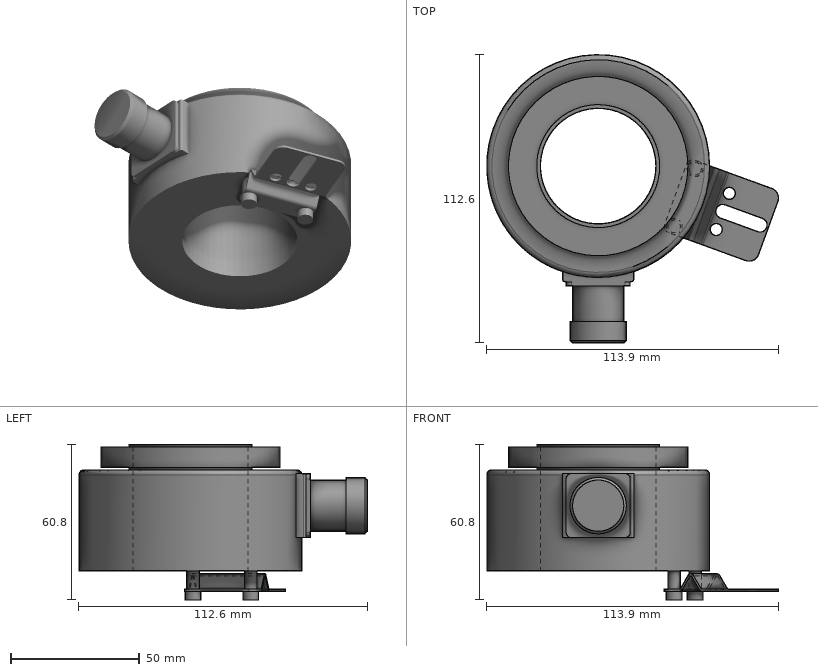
import cadquery as cq
import math

BODY_DIA = 87.0
BODY_HEIGHT = 39.5
BODY_TOP_FILLET = 2.0
BORE_DIA = 45.0

HUB_DIA = 48.0
RING_DIA = 70.0
RING_HEIGHT = 8.0
RING_GAP = 0.95
HUB_TOP = BODY_HEIGHT + RING_GAP + RING_HEIGHT + RING_GAP

CONNECTOR_Z = 25.5
CONNECTOR_END_Y = -69.05
BLOCK_WIDTH = 27.8
BLOCK_HEIGHT = 25.0
BLOCK_BACK_Y = -36.0
BLOCK_FRONT_Y = -45.15
BLOCK_EDGE_FILLET = 1.0
PAD_SIZE = 25.0
PAD_CORNER_RADIUS = 2.0
PAD_FRONT_Y = -46.8
BARREL_DIA = 20.0
CAP_DIA = 22.0
CAP_LENGTH = 8.3
CAP_CHAMFER = 1.0

BRACKET_ANGLE = -20.0
SHEET = 0.85
BRACKET_TOP_Z = -7.12
BRACKET_BOTTOM_Z = BRACKET_TOP_Z - SHEET
BRACKET_INNER_END = 32.15
BRACKET_OUTER_END = 70.67
BRACKET_WIDTH = 30.0
INNER_CORNER_RADIUS = 2.5
OUTER_CORNER_RADIUS = 4.0
FOLD_X = 43.9
FOLD_TOP_Z = -1.07
FOLD_ANGLE = math.radians(58.0)
PEAK_INNER_RADIUS = 0.4
PEAK_OUTER_RADIUS = PEAK_INNER_RADIUS + SHEET
FOOT_INNER_RADIUS = 0.9
FOOT_OUTER_RADIUS = FOOT_INNER_RADIUS + SHEET
HOLE_X = 51.75
HOLE_SPACING = 15.0
HOLE_DIA = 4.6
SLOT_WIDTH = 5.4
SLOT_TRAVEL = 15.5

SCREW_X = 35.9
SCREW_SPACING = 24.0
SHANK_DIA = 4.9
HEAD_DIA = 6.2
HEAD_HEIGHT = 3.43


def make_body():
    body = cq.Workplane("XY").circle(BODY_DIA / 2).extrude(BODY_HEIGHT)
    body = body.faces(">Z").edges().fillet(BODY_TOP_FILLET)
    hub = cq.Workplane("XY").circle(HUB_DIA / 2).extrude(HUB_TOP)
    ring_bottom = BODY_HEIGHT + RING_GAP
    ring = cq.Workplane("XY", origin=(0, 0, ring_bottom)).circle(RING_DIA / 2).extrude(RING_HEIGHT)
    return body.union(hub).union(ring)


def connector_plane(y):
    """Plane facing -Y at the given Y, centred on the connector axis."""
    return cq.Workplane("XZ", origin=(0, y, CONNECTOR_Z))


def make_connector():
    block = connector_plane(BLOCK_BACK_Y).rect(BLOCK_WIDTH, BLOCK_HEIGHT).extrude(BLOCK_BACK_Y - BLOCK_FRONT_Y)
    block = block.faces("<Y").edges("|Z").fillet(BLOCK_EDGE_FILLET)
    pad = connector_plane(BLOCK_FRONT_Y).rect(PAD_SIZE, PAD_SIZE).extrude(BLOCK_FRONT_Y - PAD_FRONT_Y)
    pad = pad.edges("|Y").fillet(PAD_CORNER_RADIUS)
    barrel = connector_plane(PAD_FRONT_Y).circle(BARREL_DIA / 2).extrude(PAD_FRONT_Y - CONNECTOR_END_Y)
    cap = connector_plane(CONNECTOR_END_Y + CAP_LENGTH).circle(CAP_DIA / 2).extrude(CAP_LENGTH)
    cap = cap.faces("<Y").edges().chamfer(CAP_CHAMFER)
    return block.union(pad).union(barrel).union(cap)


def fold_prism(flat_z, peak_radius, foot_radius, peak_top_z):
    """Solid below a flat surface with one rounded ridge, reaching below the sheet."""
    peak_z = peak_top_z - peak_radius + peak_radius / math.cos(FOLD_ANGLE)
    foot = (peak_z - flat_z) / math.tan(FOLD_ANGLE)
    base_z = BRACKET_BOTTOM_Z - 2 * SHEET
    prism = (
        cq.Workplane("XZ")
        .moveTo(BRACKET_INNER_END, base_z)
        .lineTo(BRACKET_INNER_END, flat_z)
        .lineTo(FOLD_X - foot, flat_z)
        .lineTo(FOLD_X, peak_z)
        .lineTo(FOLD_X + foot, flat_z)
        .lineTo(BRACKET_OUTER_END, flat_z)
        .lineTo(BRACKET_OUTER_END, base_z)
        .close()
        .extrude(BRACKET_WIDTH / 2, both=True)
    )
    peak_edge = cq.selectors.NearestToPointSelector((FOLD_X, 0, peak_z))
    prism = prism.edges(peak_edge).fillet(peak_radius)
    for side in (-1, 1):
        foot_edge = cq.selectors.NearestToPointSelector((FOLD_X + side * foot, 0, flat_z))
        prism = prism.edges(foot_edge).fillet(foot_radius)
    return prism


def make_bracket():
    upper = fold_prism(BRACKET_TOP_Z, PEAK_OUTER_RADIUS, FOOT_INNER_RADIUS, FOLD_TOP_Z)
    lower = fold_prism(BRACKET_BOTTOM_Z, PEAK_INNER_RADIUS, FOOT_OUTER_RADIUS, FOLD_TOP_Z - SHEET)
    bracket = upper.cut(lower)
    bracket = bracket.edges("|Z and <X").fillet(INNER_CORNER_RADIUS)
    bracket = bracket.edges("|Z and >X").fillet(OUTER_CORNER_RADIUS)

    base = cq.Workplane("XY", origin=(HOLE_X, 0, BRACKET_BOTTOM_Z))
    hole_points = [(0, -HOLE_SPACING / 2), (0, HOLE_SPACING / 2)]
    holes = base.pushPoints(hole_points).circle(HOLE_DIA / 2).extrude(SHEET)
    slot = base.center(SLOT_TRAVEL / 2, 0).slot2D(SLOT_TRAVEL + SLOT_WIDTH, SLOT_WIDTH).extrude(SHEET)
    return bracket.cut(holes).cut(slot)


def make_screw(y):
    base = cq.Workplane("XY", origin=(SCREW_X, y, BRACKET_BOTTOM_Z))
    shank = base.circle(SHANK_DIA / 2).extrude(-BRACKET_BOTTOM_Z)
    head = base.circle(HEAD_DIA / 2).extrude(-HEAD_HEIGHT)
    return shank.union(head)


mount = make_bracket()
for side in (-1, 1):
    mount = mount.union(make_screw(side * SCREW_SPACING / 2))
mount = mount.rotate((0, 0, 0), (0, 0, 1), BRACKET_ANGLE)

bore = cq.Workplane("XY").circle(BORE_DIA / 2).extrude(HUB_TOP)
result = make_body().union(make_connector()).union(mount).cut(bore)